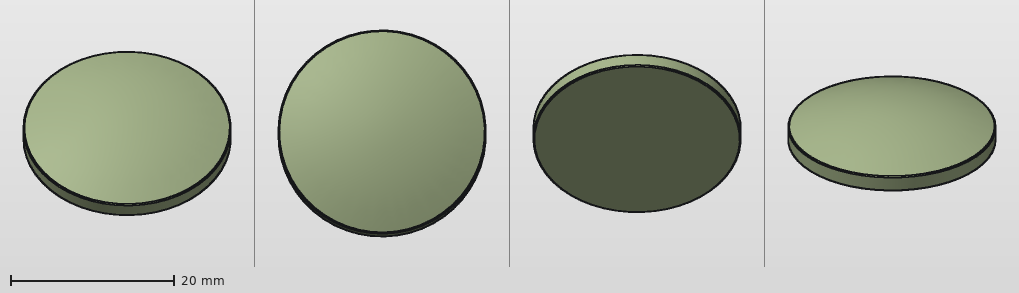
import cadquery as cq

diameter = 25.4
center_thickness = 4.45
edge_thickness = 2.05
bevel = 0.15

radius = diameter / 2
dome_rim_radius = radius - bevel
dome_height = center_thickness - edge_thickness
dome_sphere_radius = (dome_rim_radius**2 + dome_height**2) / (2 * dome_height)

arc_mid_radius = dome_rim_radius / 2
sphere_center_z = center_thickness - dome_sphere_radius
arc_mid_z = sphere_center_z + (dome_sphere_radius**2 - arc_mid_radius**2) ** 0.5

half_section = (
    cq.Workplane("XZ")
    .moveTo(0, 0)
    .lineTo(radius - bevel, 0)
    .lineTo(radius, bevel)
    .lineTo(radius, edge_thickness - bevel)
    .lineTo(dome_rim_radius, edge_thickness)
    .threePointArc((arc_mid_radius, arc_mid_z), (0, center_thickness))
    .close()
)

result = half_section.revolve(360, (0, 0, 0), (0, 1, 0))